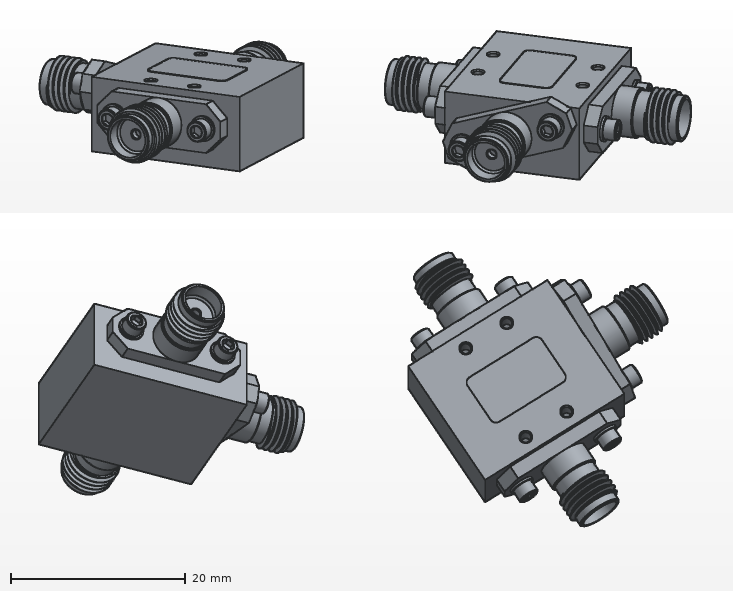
import cadquery as cq
import math

BODY_X = 19.055
BODY_Y = 16.26
BODY_Z = 8.89

LABEL_X = 10.16
LABEL_Y = 6.35
LABEL_RADIUS = 0.76
LABEL_THICKNESS = 0.1
HOLE_DIAMETER = 1.19
HOLE_MOUTH_DIAMETER = 1.52
HOLE_DEPTH = 2.5
HOLE_TIP_ANGLE = 118
HOLE_SPACING_X = 5.6
HOLE_SPACING_Y = 12.67

PORT_HEIGHT = 5.1
FLANGE_LENGTH = 15.88
FLANGE_WIDTH = 5.82
FLANGE_THICKNESS = 1.7
FLANGE_CORNER = 1.86
SIDE_PORT_ROLL = 200

CONNECTOR_LENGTH = (35.41 - BODY_Y) / 2
SHOULDER_DIAMETER = 5.84
SHOULDER_END = 4.2
BARREL_DIAMETER = 5.33
BARREL_CHAMFER = 0.13
BORE_DIAMETER = 4.52
BORE_SEAT_DIAMETER = 4.06
BORE_DEPTH = 1.75
BORE_SEAT_LENGTH = 0.3
CONTACT_DIAMETER = 1.02
CONTACT_MOUTH_DIAMETER = 1.27
CONTACT_DEPTH = 1.0

THREAD_DIAMETER = 6.35
THREAD_PITCH = 25.4 / 36
THREAD_START = 5.56
THREAD_END = 8.58
THREAD_LEAD_IN = 0.57
THREAD_TURNS = 5.5
THREAD_ROOT_WIDTH = 0.62
THREAD_CREST_WIDTH = 0.1
THREAD_OVERLAP = 0.1
THREAD_END_CHAMFER = 0.25

SCREW_SPACING = 11.43
WASHER_DIAMETER = 2.95
WASHER_THICKNESS = 0.3
HEAD_DIAMETER = 2.44
HEAD_HEIGHT = 1.8
HEAD_CHAMFER = 0.13
SOCKET_ACROSS_FLATS = 1.27
SOCKET_MOUTH_DIAMETER = 1.52
SOCKET_DEPTH = 0.8


def make_body():
    """Rectangular housing with its raised label plate."""
    body = cq.Workplane("XY").box(BODY_X, BODY_Y, BODY_Z, centered=(True, True, False))
    label = (
        cq.Workplane("XY", origin=(0, 0, BODY_Z))
        .rect(LABEL_X, LABEL_Y)
        .extrude(LABEL_THICKNESS)
        .edges("|Z")
        .fillet(LABEL_RADIUS)
    )
    return body.union(label)


def make_mounting_hole():
    """Cutter for a drilled hole with a chamfered mouth and a conical tip, mouth at Z = 0."""
    radius = HOLE_DIAMETER / 2
    mouth_radius = HOLE_MOUTH_DIAMETER / 2
    tip_length = radius / math.tan(math.radians(HOLE_TIP_ANGLE / 2))
    return (
        cq.Workplane("XZ")
        .moveTo(0, 0)
        .lineTo(mouth_radius, 0)
        .lineTo(radius, radius - mouth_radius)
        .lineTo(radius, -HOLE_DEPTH)
        .lineTo(0, -HOLE_DEPTH - tip_length)
        .close()
        .revolve(360, (0, 0), (0, 1))
    )


def make_flange():
    """Flange plate lying on Z = 0, long along X."""
    return (
        cq.Workplane("XY")
        .box(FLANGE_LENGTH, FLANGE_WIDTH, FLANGE_THICKNESS, centered=(True, True, False))
        .edges("|Z")
        .chamfer(FLANGE_CORNER)
    )


def make_barrel():
    """Stepped connector barrel standing on Z = 0."""
    shoulder = (
        cq.Workplane("XY", origin=(0, 0, FLANGE_THICKNESS))
        .circle(SHOULDER_DIAMETER / 2)
        .extrude(SHOULDER_END - FLANGE_THICKNESS)
    )
    barrel = cq.Workplane("XY").circle(BARREL_DIAMETER / 2).extrude(CONNECTOR_LENGTH)
    shoulder = shoulder.faces(">Z").chamfer(BARREL_CHAMFER)
    barrel = barrel.faces(">Z").chamfer(BARREL_CHAMFER)
    return shoulder.union(barrel)


def make_thread():
    """Helical thread ridge around Z, sunk slightly into the barrel and bevelled off at both ends."""
    root_radius = BARREL_DIAMETER / 2 - THREAD_OVERLAP
    crest_radius = THREAD_DIAMETER / 2
    helix = cq.Wire.makeHelix(THREAD_PITCH, THREAD_PITCH * THREAD_TURNS, root_radius)
    ridge = (
        cq.Workplane("XZ")
        .moveTo(root_radius, -THREAD_ROOT_WIDTH / 2)
        .lineTo(crest_radius, -THREAD_CREST_WIDTH / 2)
        .lineTo(crest_radius, THREAD_CREST_WIDTH / 2)
        .lineTo(root_radius, THREAD_ROOT_WIDTH / 2)
        .close()
        .sweep(cq.Workplane(helix), isFrenet=True)
    )
    ridge = ridge.translate((0, 0, THREAD_START - THREAD_LEAD_IN))
    threaded_length = (
        cq.Workplane("XY", origin=(0, 0, THREAD_START))
        .circle(THREAD_DIAMETER / 2)
        .extrude(THREAD_END - THREAD_START)
        .faces("<Z or >Z")
        .chamfer(THREAD_END_CHAMFER)
    )
    return ridge.intersect(threaded_length)


def make_bore():
    """Cutter for the open end: bore, tapered seat and centre contact hole."""
    bore_radius = BORE_DIAMETER / 2
    seat_radius = BORE_SEAT_DIAMETER / 2
    contact_radius = CONTACT_DIAMETER / 2
    seat_top = CONNECTOR_LENGTH - BORE_DEPTH
    floor = seat_top - BORE_SEAT_LENGTH
    mouth_radius = CONTACT_MOUTH_DIAMETER / 2
    mouth_bottom = floor - (mouth_radius - contact_radius)
    contact_bottom = floor - CONTACT_DEPTH
    return (
        cq.Workplane("XZ")
        .moveTo(0, CONNECTOR_LENGTH)
        .lineTo(bore_radius, CONNECTOR_LENGTH)
        .lineTo(bore_radius, seat_top)
        .lineTo(seat_radius, floor)
        .lineTo(mouth_radius, floor)
        .lineTo(contact_radius, mouth_bottom)
        .lineTo(contact_radius, contact_bottom)
        .lineTo(0, contact_bottom)
        .close()
        .revolve(360, (0, 0), (0, 1))
    )


def make_screw():
    """Socket head screw with its washer, standing on Z = 0."""
    washer = cq.Workplane("XY").circle(WASHER_DIAMETER / 2).extrude(WASHER_THICKNESS)
    head = cq.Workplane("XY").circle(HEAD_DIAMETER / 2).extrude(HEAD_HEIGHT)
    head = head.faces(">Z").chamfer(HEAD_CHAMFER)
    socket = (
        cq.Workplane("XY", origin=(0, 0, HEAD_HEIGHT - SOCKET_DEPTH))
        .polygon(6, SOCKET_ACROSS_FLATS, circumscribed=True)
        .extrude(SOCKET_DEPTH)
    )
    mouth_radius = SOCKET_MOUTH_DIAMETER / 2
    mouth = cq.Workplane(cq.Solid.makeCone(0, mouth_radius, mouth_radius)).translate(
        (0, 0, HEAD_HEIGHT - mouth_radius)
    )
    return washer.union(head).cut(socket).cut(mouth)


def make_connector():
    """Complete connector on its flange, axis along Z, flange long along X."""
    connector = make_flange().union(make_barrel()).union(make_thread()).cut(make_bore())
    screw = make_screw()
    for side in (-1, 1):
        connector = connector.union(screw.translate((side * SCREW_SPACING / 2, 0, FLANGE_THICKNESS)))
    return connector


def place_port(connector, roll, heading, reach):
    """Roll a connector about its axis, face it along -Y, then swing it round to its housing face."""
    return (
        connector.rotate((0, 0, 0), (0, 0, 1), roll)
        .rotate((0, 0, 0), (1, 0, 0), 90)
        .translate((0, -reach, PORT_HEIGHT))
        .rotate((0, 0, 0), (0, 0, 1), heading)
    )


result = make_body()

mounting_hole = make_mounting_hole()
for x_side in (-1, 1):
    for y_side in (-1, 1):
        hole_position = (x_side * HOLE_SPACING_X / 2, y_side * HOLE_SPACING_Y / 2, BODY_Z)
        result = result.cut(mounting_hole.translate(hole_position))

port = make_connector()
result = result.union(place_port(port, 0, 0, BODY_Y / 2))
result = result.union(place_port(port, 0, 180, BODY_Y / 2))
result = result.union(place_port(port, SIDE_PORT_ROLL, -90, BODY_X / 2))